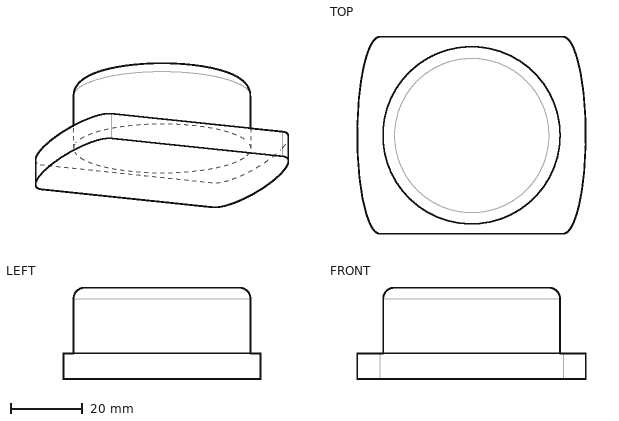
import cadquery as cq

flat_length = 50.8
end_bulge = 6.35
plate_depth = 54.77
plate_height = 7.14

boss_diameter = 49.21
total_height = 25.41
boss_edge_radius = 3.175

boss_height = total_height - plate_height


def make_plate():
    """Rectangle joined at each X end by an ellipse that runs tangent into the straight edges."""
    plate = cq.Workplane("XY").rect(flat_length, plate_depth).extrude(plate_height)
    for side in (-1, 1):
        bowed_end = (
            cq.Workplane("XY")
            .center(side * flat_length / 2, 0)
            .ellipse(end_bulge, plate_depth / 2)
            .extrude(plate_height)
        )
        plate = plate.union(bowed_end)
    return plate.clean()


def make_boss():
    """Cylinder with a rounded top rim."""
    return (
        cq.Workplane("XY")
        .workplane(offset=plate_height)
        .circle(boss_diameter / 2)
        .extrude(boss_height)
        .faces(">Z")
        .edges()
        .fillet(boss_edge_radius)
    )


result = make_plate().union(make_boss())